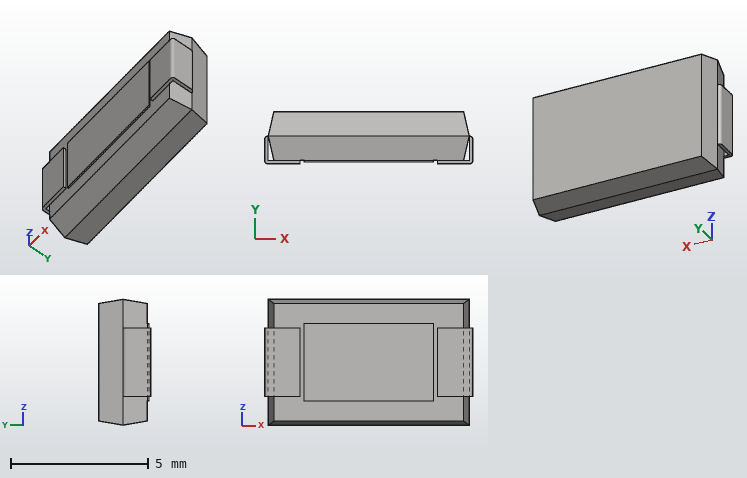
import cadquery as cq

length = 7.6
depth = 1.91
height = 4.6

strip_wall = 0.13
foot_length = 1.29
strip_height = 2.5
corner_radius = 0.12

housing_length = length - 2 * strip_wall
end_taper = 0.205
edge_taper = 0.15

pad_length = 4.71
pad_height = 2.83
pad_thickness = 0.06

back_y = depth / 2
front_y = -depth / 2
housing_front_y = front_y + strip_wall
parting_y = (back_y + housing_front_y) / 2


def make_housing_half(face_y):
    """Loft from the parting plane to the smaller flat face at face_y."""
    parting = cq.Workplane("XZ", origin=(0, parting_y, 0)).rect(housing_length, height)
    return parting.workplane(offset=parting_y - face_y).rect(
        housing_length - 2 * end_taper, height - 2 * edge_taper
    ).loft(ruled=True)


def make_housing():
    """Two tapered halves joined at the parting plane."""
    return make_housing_half(back_y).union(make_housing_half(housing_front_y))


def make_pad():
    """Thin plate on the front face of the housing."""
    pad_centre_y = housing_front_y - pad_thickness / 2
    return cq.Workplane("XY").box(pad_length, pad_thickness, pad_height).translate((0, pad_centre_y, 0))


def make_terminal(side):
    """L-shaped strip at the end given by side (-1 or 1), rounded on its outer corners."""
    outer_x = side * length / 2
    inner_x = side * housing_length / 2
    foot_end_x = side * (length / 2 - foot_length)
    strip = (
        cq.Workplane("XY", origin=(0, 0, -strip_height / 2))
        .moveTo(foot_end_x, front_y)
        .lineTo(outer_x, front_y)
        .lineTo(outer_x, parting_y)
        .lineTo(inner_x, parting_y)
        .lineTo(inner_x, housing_front_y)
        .lineTo(foot_end_x, housing_front_y)
        .close()
        .extrude(strip_height)
    )
    outer_face = ">X" if side > 0 else "<X"
    return strip.faces(outer_face).edges("|Z").fillet(corner_radius)


housing = make_housing()
pad = make_pad()
terminals = [make_terminal(side) for side in (-1, 1)]

result = cq.Compound.makeCompound(
    [housing.val(), pad.val(), *[terminal.val() for terminal in terminals]]
)